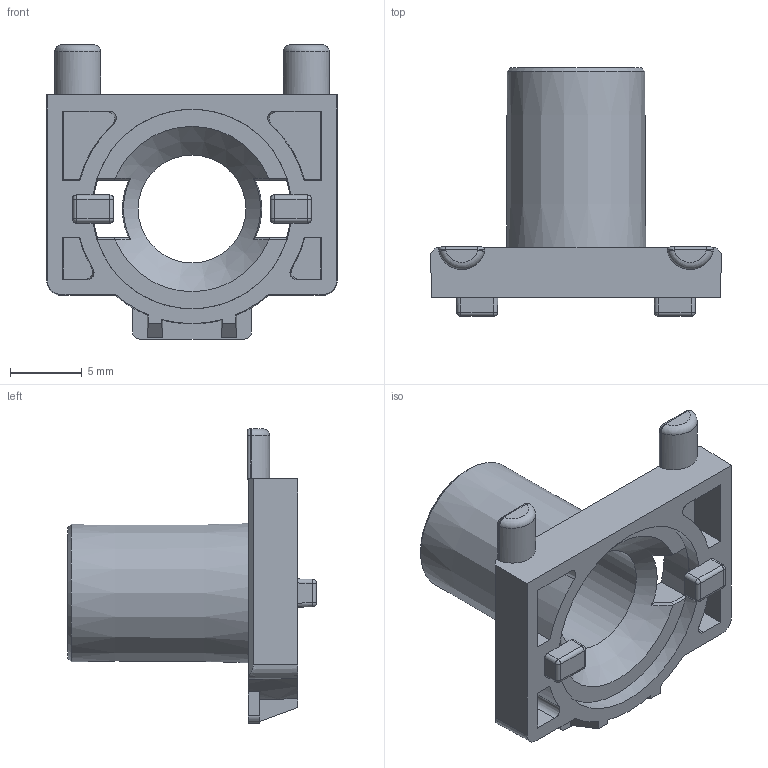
import cadquery as cq
import math


PLATE_WIDTH = 20.24
PLATE_TOP = 8.0
PLATE_BOTTOM = -6.0
PLATE_THICKNESS = 3.45
PLATE_CORNER_RADIUS = 1.0
PLATE_BACK_CHAMFER = 0.38
RING_RADIUS = 8.03
DRAFT_ANGLE = 1.0

TUBE_RADIUS = 4.85
TUBE_LENGTH = 12.55
TUBE_DRAFT = 0.3
TUBE_END_CHAMFER = 0.25
BORE_RADIUS = 3.75
CONE_MOUTH_RADIUS = 5.75
CONE_DEPTH = CONE_MOUTH_RADIUS - BORE_RADIUS
COUNTERBORE_RADIUS = 6.95
COUNTERBORE_DEPTH = 1.05

WINDOW_HEIGHT = 4.02
WINDOW_CHAMFER = 0.14
WINDOW_CHAMFER_ANGLE = 45
WINDOW_WALL_DRAFT = 3.0
WINDOW_INNER_RADIUS = TUBE_RADIUS - PLATE_THICKNESS * math.tan(math.radians(WINDOW_WALL_DRAFT))

POCKET_SIDE = 9.0
POCKET_ARC_RADIUS = 8.05
POCKET_DEPTH = 2.5
POCKET_END_RADIUS = 0.5
UPPER_POCKET_TOP = 6.82
UPPER_POCKET_BOTTOM = 1.99
LOWER_POCKET_TOP = -1.95
LOWER_POCKET_BOTTOM = -4.92

PEG_INNER = 5.44
PEG_WIDTH = 2.88
PEG_HEIGHT = 1.96
PEG_LENGTH = 1.3
PEG_FILLET = 0.28

LUG_SPACING = 15.9
LUG_RADIUS = 1.6
LUG_DEPTH = 1.56
LUG_BACK = 0.06
LUG_ROOT = 0.1
LUG_TOP = 11.42
LUG_FILLET = 0.48
LUG_BACK_FILLET = 0.2
LUG_FLANK = 0.3

TAB_WIDTH = 8.28
TAB_BOTTOM = -9.05
TAB_THICKNESS = 0.8
TAB_CORNER_RADIUS = 0.5
RIB_SPACING = 5.15
RIB_WIDTH = 1.07
RIB_DRAFT = 1.5
RIB_TOP = -COUNTERBORE_RADIUS
RIB_FRONT_BOTTOM = -7.97
RIB_BACK_BOTTOM = -8.95

SIDES = (-1, 1)


def facing_front(y):
    """XZ sketch plane at the given Y; extrusions run toward the front (-Y)."""
    return cq.Workplane("XZ", origin=(0, y, 0))


def make_plate():
    """Drafted plate with chamfered back sides; the ring bulges below its bottom edge."""
    height = PLATE_TOP - PLATE_BOTTOM
    corner_sketch = (
        cq.Sketch()
        .rect(PLATE_WIDTH, height)
        .vertices("<Y")
        .fillet(PLATE_CORNER_RADIUS)
    )
    plate = (
        facing_front(0)
        .center(0, (PLATE_TOP + PLATE_BOTTOM) / 2)
        .placeSketch(corner_sketch)
        .extrude(PLATE_THICKNESS, taper=DRAFT_ANGLE)
    )
    for side in SIDES:
        edge_x = side * PLATE_WIDTH / 2
        wedge = (
            cq.Workplane("XY", origin=(0, 0, PLATE_BOTTOM))
            .moveTo(edge_x, 0)
            .lineTo(edge_x - side * PLATE_BACK_CHAMFER, 0)
            .lineTo(edge_x, -PLATE_BACK_CHAMFER)
            .close()
            .extrude(height)
        )
        plate = plate.cut(wedge)

    ring = facing_front(0).circle(RING_RADIUS).extrude(PLATE_THICKNESS, taper=DRAFT_ANGLE)
    upper_space = cq.Workplane("XY").box(PLATE_WIDTH, PLATE_WIDTH, PLATE_WIDTH, centered=(True, True, False))
    ring = ring.cut(upper_space)
    return plate.union(ring)


def make_tube():
    """Tube that narrows slightly toward its free end; its root is sunk into the plate."""
    root = facing_front(0).circle(TUBE_RADIUS).extrude(PLATE_THICKNESS)
    tube = facing_front(0).circle(TUBE_RADIUS).extrude(-TUBE_LENGTH, taper=TUBE_DRAFT)
    return root.union(tube).faces(">Y").chamfer(TUBE_END_CHAMFER)


def make_bore():
    """Counterbore, conical seat and through bore as one revolved solid."""
    front = -PLATE_THICKNESS
    floor = front + COUNTERBORE_DEPTH
    return (
        cq.Workplane("XY")
        .moveTo(0, front)
        .lineTo(COUNTERBORE_RADIUS, front)
        .lineTo(COUNTERBORE_RADIUS, floor)
        .lineTo(CONE_MOUTH_RADIUS, floor)
        .lineTo(BORE_RADIUS, floor + CONE_DEPTH)
        .lineTo(BORE_RADIUS, TUBE_LENGTH)
        .lineTo(0, TUBE_LENGTH)
        .close()
        .revolve(360, (0, 0, 0), (0, 1, 0))
    )


def make_window_bevel(side, level):
    """Bevel that widens one edge of a window where it opens onto the floor and the cone."""
    front = -PLATE_THICKNESS
    floor = front + COUNTERBORE_DEPTH
    bevel_z = WINDOW_HEIGHT / 2 + WINDOW_CHAMFER
    mouth_x = math.sqrt(CONE_MOUTH_RADIUS**2 - bevel_z**2)
    inner_x = math.sqrt(WINDOW_INNER_RADIUS**2 - bevel_z**2)
    inner_y = floor + CONE_MOUTH_RADIUS - WINDOW_INNER_RADIUS
    return (
        cq.Workplane("XY", origin=(0, 0, level * bevel_z))
        .moveTo(side * COUNTERBORE_RADIUS, front)
        .lineTo(side * COUNTERBORE_RADIUS, floor)
        .lineTo(side * mouth_x, floor)
        .lineTo(side * inner_x, inner_y)
        .lineTo(side * inner_x, front)
        .close()
        .extrude(-level * WINDOW_CHAMFER, taper=-WINDOW_CHAMFER_ANGLE)
    )


def make_windows():
    """Drafted annular sector slots, bevelled at the mouth, that pass through the plate beside the tube."""
    outer = (
        facing_front(-PLATE_THICKNESS)
        .circle(COUNTERBORE_RADIUS)
        .extrude(-PLATE_THICKNESS, taper=DRAFT_ANGLE)
    )
    core = facing_front(0).circle(TUBE_RADIUS).extrude(PLATE_THICKNESS, taper=WINDOW_WALL_DRAFT)
    opening = facing_front(0).rect(2 * COUNTERBORE_RADIUS, WINDOW_HEIGHT).extrude(PLATE_THICKNESS)
    for side in SIDES:
        for level in SIDES:
            opening = opening.union(make_window_bevel(side, level))
    return outer.cut(core).intersect(opening)


def make_pocket(side, flat_z, end_z):
    """Pocket bounded by the ring; end_z is the edge that runs into the rounded tip."""
    arc_flat_x = math.sqrt(POCKET_ARC_RADIUS**2 - flat_z**2)
    arc_end_x = math.sqrt(POCKET_ARC_RADIUS**2 - end_z**2)
    middle = (math.atan2(flat_z, arc_flat_x) + math.atan2(end_z, arc_end_x)) / 2
    arc_middle = (
        side * POCKET_ARC_RADIUS * math.cos(middle),
        POCKET_ARC_RADIUS * math.sin(middle),
    )
    pocket = (
        facing_front(-PLATE_THICKNESS)
        .moveTo(side * POCKET_SIDE, end_z)
        .lineTo(side * POCKET_SIDE, flat_z)
        .lineTo(side * arc_flat_x, flat_z)
        .threePointArc(arc_middle, (side * arc_end_x, end_z))
        .close()
        .extrude(-POCKET_DEPTH, taper=DRAFT_ANGLE)
    )
    tip_y = POCKET_DEPTH / 2 - PLATE_THICKNESS
    tip_edge = cq.selectors.NearestToPointSelector((side * arc_end_x, tip_y, end_z))
    return pocket.edges(tip_edge).fillet(POCKET_END_RADIUS)


def make_peg(side):
    center_x = side * (PEG_INNER + PEG_WIDTH / 2)
    peg = (
        facing_front(-PLATE_THICKNESS)
        .center(center_x, 0)
        .rect(PEG_WIDTH, PEG_HEIGHT)
        .extrude(PEG_LENGTH, taper=DRAFT_ANGLE)
    )
    return peg.edges("not >Y").fillet(PEG_FILLET)


def make_lug(side):
    """Lug with a flat back and a round front, rising from inside the plate."""
    lug = (
        cq.Workplane("XY", origin=(side * LUG_SPACING / 2, LUG_BACK, PLATE_TOP - LUG_ROOT))
        .moveTo(-LUG_RADIUS, 0)
        .lineTo(-LUG_RADIUS, -LUG_FLANK)
        .threePointArc((0, -LUG_DEPTH), (LUG_RADIUS, -LUG_FLANK))
        .lineTo(LUG_RADIUS, 0)
        .close()
        .extrude(LUG_TOP - PLATE_TOP + LUG_ROOT)
    )
    lug = lug.edges(">Z and (not >Y)").fillet(LUG_FILLET)
    return lug.faces(">Y").edges("not <Z").fillet(LUG_BACK_FILLET)


def make_tab():
    tab = (
        facing_front(0)
        .center(0, TAB_BOTTOM / 2)
        .rect(TAB_WIDTH, -TAB_BOTTOM)
        .extrude(TAB_THICKNESS)
    )
    return tab.edges("|Y and <Z").fillet(TAB_CORNER_RADIUS)


def make_rib(side):
    """Rib with drafted flanks and an underside that slopes from the tab to the front."""
    block = (
        facing_front(-TAB_THICKNESS)
        .center(side * RIB_SPACING / 2, TAB_BOTTOM)
        .rect(RIB_WIDTH, -2 * TAB_BOTTOM)
        .extrude(PLATE_THICKNESS - TAB_THICKNESS, taper=RIB_DRAFT)
    )
    slope = (
        cq.Workplane("YZ")
        .moveTo(-TAB_THICKNESS, RIB_TOP)
        .lineTo(-TAB_THICKNESS, RIB_BACK_BOTTOM)
        .lineTo(-PLATE_THICKNESS, RIB_FRONT_BOTTOM)
        .lineTo(-PLATE_THICKNESS, RIB_TOP)
        .close()
        .extrude(PLATE_WIDTH / 2, both=True)
    )
    return block.intersect(slope)


part = make_plate().union(make_tube()).union(make_tab())
for side in SIDES:
    part = part.union(make_rib(side))
    part = part.cut(make_pocket(side, UPPER_POCKET_BOTTOM, UPPER_POCKET_TOP))
    part = part.cut(make_pocket(side, LOWER_POCKET_TOP, LOWER_POCKET_BOTTOM))
    part = part.union(make_lug(side))
part = part.cut(make_bore()).cut(make_windows())
for side in SIDES:
    part = part.union(make_peg(side))

result = part